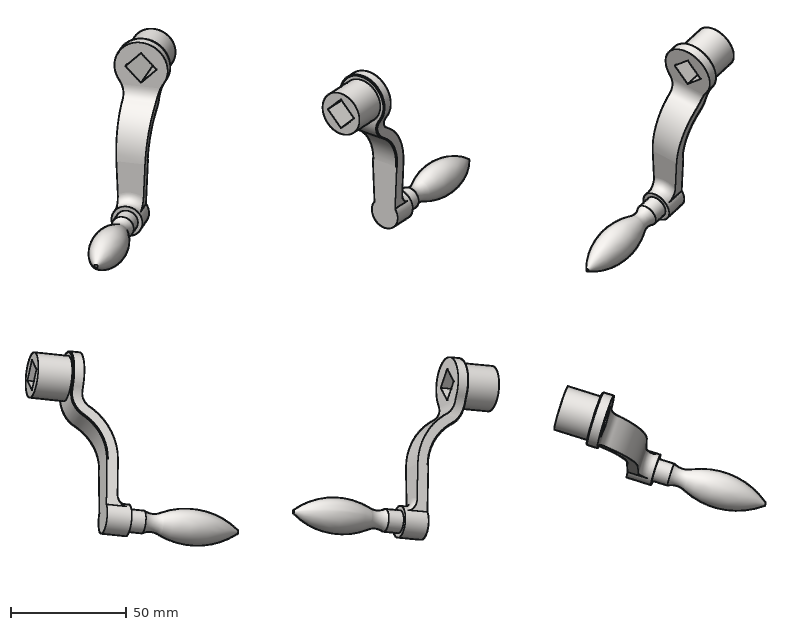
import cadquery as cq
import math


hub_radius = 9.95
hub_back = 20.3
flange_radius = 12.0
plate_thickness = 5.0
back_edge_chamfer = 0.5
square_side = 9.95

crank_offset = 16.7
bend_start_z = -8.7
bend_end_z = -37.85
upper_bend_radius = 7.0
arm_half_width_top = 7.4
arm_top_z = -14.7
arm_half_width_bottom = 5.4
blend_radius = 15.0

handle_z = -63.0
boss_radius = 7.0
boss_front = -22.8
boss_fillet = 4.0
neck_radius = 5.0
neck_end = -29.8
throat_radius = 4.0
throat_y = -33.8
throat_end = -37.8
belly_radius = 8.0
belly_y = -52.3
tip_radius = 1.1
tip_flat_radius = 0.7
tip_y = -72.2
overall_length = 93.0
handle_end = hub_back - overall_length

outline_depth = 27.9

NORMAL_TOLERANCE = 0.001
EDGE_TOLERANCE = 0.001


def cylinder_y(radius, y_front, y_back, z):
    """Cylinder along Y between two Y positions."""
    disc = cq.Workplane("XZ", origin=(0, y_back, z)).circle(radius)
    return disc.extrude(y_back - y_front)


def cranked_plate():
    """Constant-thickness plate in the YZ plane with two opposed tangent bends."""
    drop = bend_start_z - bend_end_z
    radius_sum = (crank_offset**2 + drop**2) / (2 * crank_offset)
    lower_bend_radius = radius_sum - upper_bend_radius
    bend_angle = math.asin(drop / radius_sum)
    lower_center_y = -crank_offset + lower_bend_radius

    def upper(angle, radius):
        return (-upper_bend_radius + radius * math.cos(angle), bend_start_z - radius * math.sin(angle))

    def lower(angle, radius):
        return (lower_center_y - radius * math.cos(angle), bend_end_z + radius * math.sin(angle))

    upper_back = upper_bend_radius + plate_thickness
    lower_back = lower_bend_radius - plate_thickness
    half = bend_angle / 2
    return (
        cq.Workplane("YZ")
        .moveTo(0, flange_radius)
        .lineTo(0, bend_start_z)
        .threePointArc(upper(half, upper_bend_radius), upper(bend_angle, upper_bend_radius))
        .threePointArc(lower(half, lower_bend_radius), lower(0, lower_bend_radius))
        .lineTo(-crank_offset, handle_z)
        .lineTo(-crank_offset + plate_thickness, handle_z)
        .lineTo(-crank_offset + plate_thickness, bend_end_z)
        .threePointArc(lower(half, lower_back), lower(bend_angle, lower_back))
        .threePointArc(upper(half, upper_back), upper(0, upper_back))
        .lineTo(plate_thickness, flange_radius)
        .close()
        .extrude(flange_radius, both=True)
    )


def arm_outline():
    """Round flange flowing into the arm through a concave arc on each side."""
    taper = math.atan2(arm_half_width_top - arm_half_width_bottom, arm_top_z - handle_z)
    center_distance = flange_radius + blend_radius
    center_x = arm_half_width_top + blend_radius * math.cos(taper)
    center_z = -math.sqrt(center_distance**2 - center_x**2)
    end_x = arm_half_width_top
    end_z = center_z - blend_radius * math.sin(taper)
    start_x = center_x * flange_radius / center_distance
    start_z = center_z * flange_radius / center_distance
    start_angle = math.atan2(-center_z, -center_x) % (2 * math.pi)
    middle_angle = (start_angle + math.pi + taper) / 2
    middle_x = center_x + blend_radius * math.cos(middle_angle)
    middle_z = center_z + blend_radius * math.sin(middle_angle)
    return (
        cq.Workplane("XZ")
        .moveTo(start_x, start_z)
        .threePointArc((0, flange_radius), (-start_x, start_z))
        .threePointArc((-middle_x, middle_z), (-end_x, end_z))
        .lineTo(-arm_half_width_bottom, handle_z)
        .lineTo(arm_half_width_bottom, handle_z)
        .lineTo(end_x, end_z)
        .threePointArc((middle_x, middle_z), (start_x, start_z))
        .close()
        .extrude(outline_depth, both=True)
    )


def straight_arm_space():
    """Block enclosing the straight lower arm, below the bends."""
    return (
        cq.Workplane("XY", origin=(0, 0, handle_z))
        .rect(outline_depth * 2, outline_depth * 2)
        .extrude(bend_end_z - handle_z)
    )


def chamfered_arm():
    """Cranked arm with chamfered back edges on the head and bends; the straight part stays sharp."""
    arm = cranked_plate().intersect(arm_outline())
    back_edges = [
        edge
        for face in arm.faces().vals()
        if abs(face.normalAt().x) < NORMAL_TOLERANCE and face.normalAt().y > NORMAL_TOLERANCE
        if face.Center().z > bend_end_z
        for edge in face.Edges()
        if edge.BoundingBox().zlen > EDGE_TOLERANCE
    ]
    chamfered = arm.newObject(back_edges).chamfer(back_edge_chamfer)
    sharp_straight_part = arm.intersect(straight_arm_space())
    return chamfered.union(sharp_straight_part)


def boss_fillet_web():
    """Concave ring between boss and arm face, kept only within the arm width."""
    outer = boss_radius + boss_fillet
    arm_front = -crank_offset
    bend = boss_fillet * math.sqrt(0.5)
    ring = (
        cq.Workplane("XY", origin=(0, 0, handle_z))
        .moveTo(0, arm_front)
        .lineTo(outer, arm_front)
        .threePointArc(
            (outer - bend, arm_front - boss_fillet + bend),
            (boss_radius, arm_front - boss_fillet),
        )
        .lineTo(0, arm_front - boss_fillet)
        .close()
        .revolve(360, (0, 0, 0), (0, 1, 0))
    )
    return ring.intersect(arm_outline())


def handle():
    """Turned grip: neck, waisted throat, belly, tapering end and blunt tip."""
    return (
        cq.Workplane("XY", origin=(0, 0, handle_z))
        .moveTo(0, boss_front)
        .lineTo(neck_radius, boss_front)
        .lineTo(neck_radius, neck_end)
        .threePointArc((throat_radius, throat_y), (neck_radius, throat_end))
        .threePointArc((belly_radius, belly_y), (tip_radius, tip_y))
        .lineTo(tip_flat_radius, handle_end)
        .lineTo(0, handle_end)
        .close()
        .revolve(360, (0, 0, 0), (0, 1, 0))
    )


hub = cylinder_y(hub_radius, 0, hub_back, 0)
boss = cylinder_y(boss_radius, boss_front, -crank_offset + plate_thickness, handle_z)
square_hole = (
    cq.Workplane("XZ", origin=(0, hub_back, 0))
    .transformed(rotate=(0, 0, 45))
    .rect(square_side, square_side)
    .extrude(hub_back)
)

result = (
    chamfered_arm()
    .union(hub)
    .union(boss)
    .union(boss_fillet_web())
    .union(handle())
    .cut(square_hole)
)